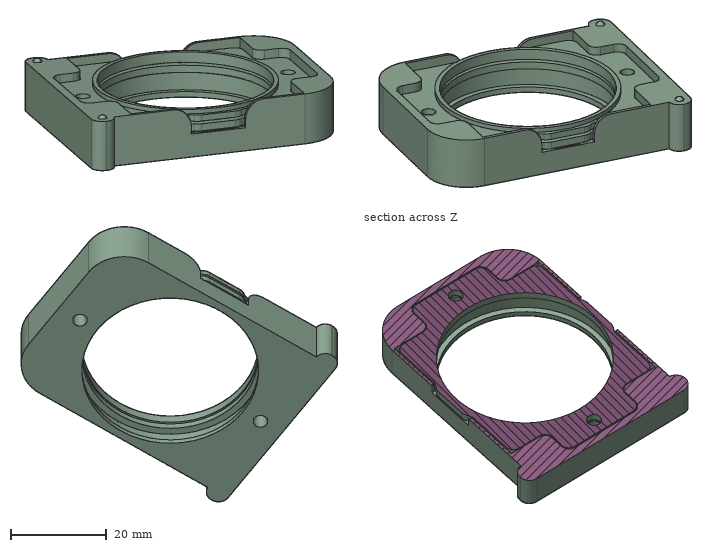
import cadquery as cq
import math


housing_length = 56.45
housing_width = 40.25
front_height = 10.85
rear_height = 11.0
rear_corner_radius = 9.0
lip_thickness = 1.25
seat_diameter = 39.4
opening_diameter = 36.9

overall_width = 44.6
overall_height = 11.45
bar_depth = 5.0
bar_end_radius = 2.4
dome_inset = 2.5
dome_radius = 1.0

pocket_width = 38.8
pocket_arm_length = 38.5
pocket_floor = 5.1
tab_width = 19.85
tab_length = 52.6
corner_radius = 2.0

notch_width = 12.1
notch_flare_radius = 4.0

end_clearance = 0.15
side_clearance = 0.2
edge_clearance = 0.05
lower_plate_base = 5.5
lower_plate_thickness = 1.6
upper_plate_base = 7.7
upper_plate_thickness = 1.35
ring_diameter = 38.9
ring_height = 0.95
ear_flat_width = 7.55
ear_radius = 2.74

bolt_hole_diameter = 3.0
bolt_spacing = 45.65

selection_margin = 0.05


def box(x_size, y_size, z_low, z_high):
    """Block centred on the Z axis in X and Y."""
    height = z_high - z_low
    return cq.Workplane("XY", origin=(0, 0, z_low)).rect(x_size, y_size).extrude(height)


def disc(diameter, z_low, z_high):
    """Round cylinder on the Z axis."""
    return cq.Workplane("XY", origin=(0, 0, z_low)).circle(diameter / 2).extrude(z_high - z_low)


def cut_bolt_holes(body):
    """Drill the two bolt holes all the way through a body."""
    places = [(0, -bolt_spacing / 2), (0, bolt_spacing / 2)]
    holes = cq.Workplane("XY").pushPoints(places).circle(bolt_hole_diameter / 2).extrude(overall_height)
    return body.cut(holes)


def cross_block(width, arm_length, tab_x, tab_y, z_low, z_high):
    """Wide arm crossed by a narrower, longer tab, with rounded tab corners and roots."""
    tab = box(tab_x, tab_y, z_low, z_high).edges("|Z").fillet(corner_radius)
    cross = box(width, arm_length, z_low, z_high).union(tab)
    root_x = tab_x / 2 + selection_margin
    root_y = arm_length / 2 + selection_margin
    roots = cq.selectors.BoxSelector((-root_x, -root_y, z_low), (root_x, root_y, z_high))
    return cross.edges("|Z").edges(roots).fillet(corner_radius)


def outer_block():
    """Housing block with rounded rear corners and a slightly lower front half."""
    front = bar_depth / 2 - housing_length / 2
    rear = housing_length / 2
    length = rear - front
    block = box(housing_width, length, 0, rear_height).translate((0, front + length / 2, 0))
    block = block.edges("|Z and >Y").fillet(rear_corner_radius)
    front_step = box(overall_width, housing_length, front_height, rear_height)
    return block.cut(front_step.translate((0, -housing_length / 2, 0)))


def hinge_bar():
    """Bar with rounded ends that stand out past the side walls."""
    bar = box(overall_width, bar_depth, 0, front_height).edges("|Z").fillet(bar_end_radius)
    return bar.translate((0, bar_depth / 2 - housing_length / 2, 0))


def hinge_dome(side):
    """Sphere sunk into one end of the hinge bar, leaving a low dome on top."""
    x = side * (overall_width / 2 - dome_inset)
    y = bar_depth / 2 - housing_length / 2
    return cq.Workplane("XY").sphere(dome_radius).translate((x, y, overall_height - dome_radius))


def notch_half(side, top):
    """One half of the finger notch, flaring out at the top with a convex round."""
    edge = notch_width / 2
    flare_end = edge + notch_flare_radius
    flare_base = top - notch_flare_radius
    offset = notch_flare_radius * (1 - math.sqrt(0.5))
    return (
        cq.Workplane("YZ", origin=(-overall_width / 2, 0, 0))
        .moveTo(0, pocket_floor)
        .lineTo(side * edge, pocket_floor)
        .lineTo(side * edge, flare_base)
        .threePointArc((side * (edge + offset), top - offset), (side * flare_end, top))
        .lineTo(0, top)
        .close()
        .extrude(overall_width)
    )


def make_housing():
    housing = outer_block().union(hinge_bar())
    for side in (-1, 1):
        housing = housing.union(hinge_dome(side))
    pocket = cross_block(
        pocket_width, pocket_arm_length, tab_width, tab_length, pocket_floor, overall_height
    )
    housing = housing.cut(pocket)
    housing = housing.cut(notch_half(-1, front_height)).cut(notch_half(1, rear_height))
    housing = housing.cut(disc(seat_diameter, lip_thickness, pocket_floor))
    housing = housing.cut(disc(opening_diameter, 0, lip_thickness))
    return cut_bolt_holes(housing)


def plate_ears(plate_width, z_low, z_high):
    """Both ears as one block across the plate; each ear end is an S-curve of two equal arcs."""
    tip = housing_width / 2
    root = plate_width / 2
    middle = (tip + root) / 2
    half_rise = (tip - root) / 2
    run = math.sqrt(2 * ear_radius * half_rise - half_rise**2)
    flat = ear_flat_width / 2
    half_angle = math.asin(run / ear_radius) / 2
    bow_rise = ear_radius * (1 - math.cos(half_angle))
    bow_run = ear_radius * math.sin(half_angle)
    end = flat + 2 * run
    ear = (
        cq.Workplane("XY", origin=(0, 0, z_low))
        .moveTo(0, -end)
        .lineTo(root, -end)
        .threePointArc((root + bow_rise, -end + bow_run), (middle, -flat - run))
        .threePointArc((tip - bow_rise, -flat - bow_run), (tip, -flat))
        .lineTo(tip, flat)
        .threePointArc((tip - bow_rise, flat + bow_run), (middle, flat + run))
        .threePointArc((root + bow_rise, end - bow_run), (root, end))
        .lineTo(0, end)
        .close()
        .extrude(z_high - z_low)
    )
    return ear.union(ear.mirror("YZ"))


def make_plate(base, thickness):
    """Cross-shaped plate with side ears, rounded arm corners, lens opening and bolt holes."""
    top = base + thickness
    plate_width = pocket_width - 2 * side_clearance
    plate = cross_block(
        plate_width,
        pocket_arm_length - 2 * edge_clearance,
        tab_width - 2 * edge_clearance,
        tab_length - 2 * end_clearance,
        base,
        top,
    )
    plate = plate.edges("|Z and (<X or >X)").fillet(corner_radius)
    plate = plate.union(plate_ears(plate_width, base, top))
    return cut_bolt_holes(plate.cut(disc(opening_diameter, base, top)))


def make_upper_plate():
    """Plate with a raised ring around the opening."""
    ring_base = upper_plate_base + upper_plate_thickness
    ring_top = ring_base + ring_height
    ring = disc(ring_diameter, ring_base, ring_top).cut(disc(opening_diameter, ring_base, ring_top))
    return make_plate(upper_plate_base, upper_plate_thickness).union(ring)


housing = make_housing()
lower_plate = make_plate(lower_plate_base, lower_plate_thickness)
upper_plate = make_upper_plate()

result = cq.Compound.makeCompound([housing.val(), lower_plate.val(), upper_plate.val()])